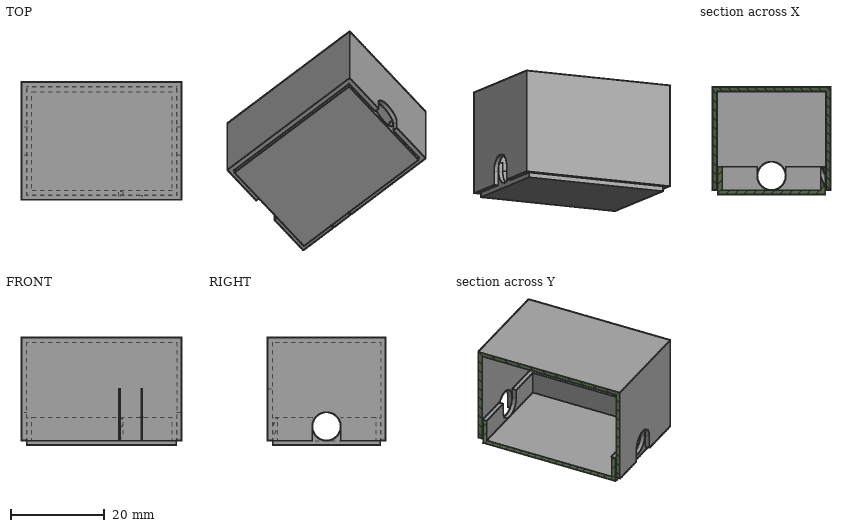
import cadquery as cq

tray_length = 32.0
tray_width = 23.0
tray_height = 6.0
wall = 1.0
floor = 1.0

fit_gap = 0.1
cover_length = tray_length + 2 * (fit_gap + wall)
cover_width = tray_width + 2 * (fit_gap + wall)
cover_height = 22.0
cover_bottom = floor

cable_diameter = 6.0
cable_axis_z = floor + cable_diameter / 2

slit_width = 0.3
slit_height = 11.0
slit_centers_x = (3.85, 8.6)

slant_hole_diameter = 1.0
slant_hole_x = 4.05
slant_hole_z = 2.82
slant_hole_tilt = 23.0
slant_hole_reach = 3.0


def block(length, width, height, bottom):
    """Box centred on the Z axis with its underside at the given height."""
    solid = cq.Workplane("XY").box(length, width, height, centered=(True, True, False))
    return solid.translate((0, 0, bottom))


def open_box(length, width, height, inner_bottom, inner_height, bottom):
    """Box with a rectangular cavity one wall thickness in from its four sides."""
    cavity = block(length - 2 * wall, width - 2 * wall, inner_height, inner_bottom)
    return block(length, width, height, bottom).cut(cavity)


def cable_notch(flat_bottom, flat_top):
    """Round passage along X, joined to a straight-sided slot between two heights."""
    circle = cq.Workplane("YZ").center(0, cable_axis_z).circle(cable_diameter / 2)
    bore = circle.extrude(cover_length / 2, both=True)
    straight = block(cover_length, cable_diameter, flat_top - flat_bottom, flat_bottom)
    return bore.union(straight)


def slit(center_x):
    """Thin upright cut through the front wall, open at the lower edge of the cover."""
    wall_center_y = -(cover_width - wall) / 2
    return (
        cq.Workplane("XY")
        .box(slit_width, wall, slit_height, centered=(True, True, False))
        .translate((center_x, wall_center_y, cover_bottom))
    )


def slanted_hole():
    """Round cutter that climbs inward into the front wall of the tray."""
    return (
        cq.Workplane("XY")
        .circle(slant_hole_diameter / 2)
        .extrude(slant_hole_reach, both=True)
        .rotate((0, 0, 0), (1, 0, 0), -slant_hole_tilt)
        .translate((slant_hole_x, -tray_width / 2, slant_hole_z))
    )


def make_tray():
    """Tray open at the top, with cable notches open upward."""
    shell = open_box(tray_length, tray_width, tray_height, floor, tray_height - floor, 0)
    return shell.cut(cable_notch(cable_axis_z, tray_height)).cut(slanted_hole())


def make_cover():
    """Cover open at the bottom, with cable notches open downward."""
    shell = open_box(cover_length, cover_width, cover_height, cover_bottom, cover_height - wall, cover_bottom)
    shell = shell.cut(cable_notch(cover_bottom, cable_axis_z))
    for center_x in slit_centers_x:
        shell = shell.cut(slit(center_x))
    return shell


tray = make_tray()
cover = make_cover()

result = cq.Compound.makeCompound([tray.val(), cover.val()])